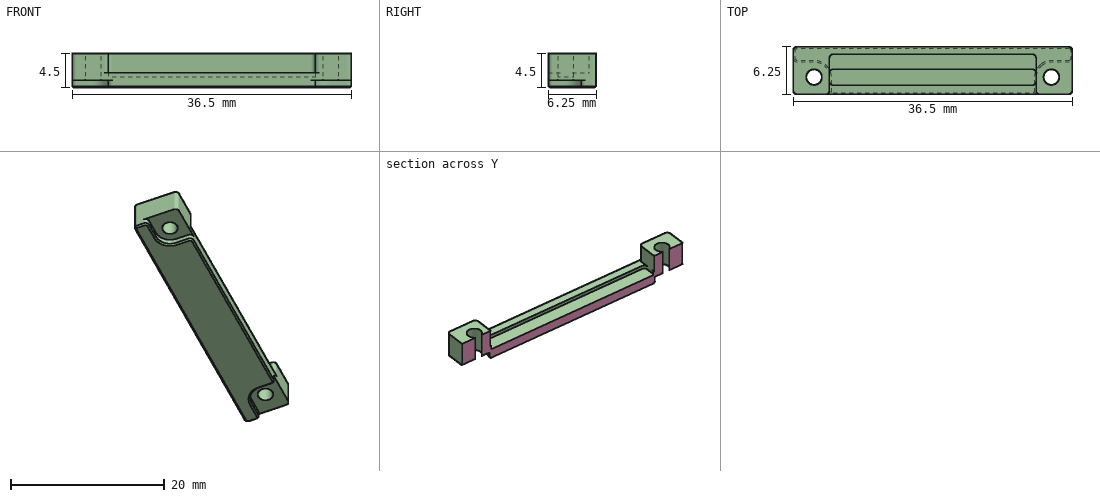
import cadquery as cq

length = 36.5
width = 6.25
height = 4.5
corner_radius = 0.5
bottom_chamfer = 0.22

hole_diameter = 2.0
hole_end_offset = 2.75
hole_front_offset = 2.25

relief_height = 1.0
relief_radius = 2.0

end_block_length = 4.75
back_wall = 1.0
pocket_depth = 2.52
channel_depth = 0.5
channel_front_offset = 1.2
channel_width = 2.08

front_y = -width / 2
hole_x = length / 2 - hole_end_offset
hole_y = front_y + hole_front_offset
pocket_length = length - 2 * end_block_length
pocket_width = width - back_wall
pocket_floor = height - pocket_depth
relief_length = hole_end_offset + relief_radius
relief_width = hole_front_offset + relief_radius


def front_aligned_box(size_x, size_y, size_z, front, bottom):
    """Box centred in X whose front face and bottom face are at the given places."""
    box = cq.Workplane("XY").box(size_x, size_y, size_z, centered=(True, False, False))
    return box.translate((0, front, bottom))


def end_relief(side):
    """Corner notch under one end block; side is -1 for left and 1 for right."""
    notch = cq.Workplane("XY").box(relief_length, relief_width, relief_height, centered=False)
    notch = notch.edges("|Z and >X and >Y").fillet(relief_radius)
    notch = notch.translate((-length / 2, front_y, 0))
    return notch if side < 0 else notch.mirror("YZ")


def round_upright_edge(solid, x, y, bottom, top):
    """Round the vertical edge at (x, y) that lies between two heights."""
    margin = corner_radius / 2
    around_edge = cq.selectors.BoxSelector(
        (x - margin, y - margin, bottom),
        (x + margin, y + margin, top),
    )
    return solid.edges("|Z").edges(around_edge).fillet(corner_radius)


body = front_aligned_box(length, width, height, front_y, 0)
body = body.edges("|Z").fillet(corner_radius)
for side in (-1, 1):
    body = body.cut(end_relief(side))
    body = round_upright_edge(body, side * length / 2, front_y + relief_width, 0, relief_height)
    body = round_upright_edge(body, side * (length / 2 - relief_length), front_y, 0, relief_height)

body = body.faces("<Z").edges().chamfer(bottom_chamfer)

pocket = front_aligned_box(pocket_length, pocket_width, pocket_depth, front_y, pocket_floor)
pocket = pocket.edges("|Z and >Y").fillet(corner_radius)
body = body.cut(pocket)

for side in (-1, 1):
    body = round_upright_edge(body, side * pocket_length / 2, front_y, pocket_floor, height)

channel = front_aligned_box(
    pocket_length,
    channel_width,
    channel_depth,
    front_y + channel_front_offset,
    pocket_floor - channel_depth,
)
channel = channel.edges("|Z").fillet(corner_radius)
body = body.cut(channel)

screw_holes = (
    cq.Workplane("XY")
    .pushPoints([(-hole_x, hole_y), (hole_x, hole_y)])
    .circle(hole_diameter / 2)
    .extrude(height)
)
result = body.cut(screw_holes)